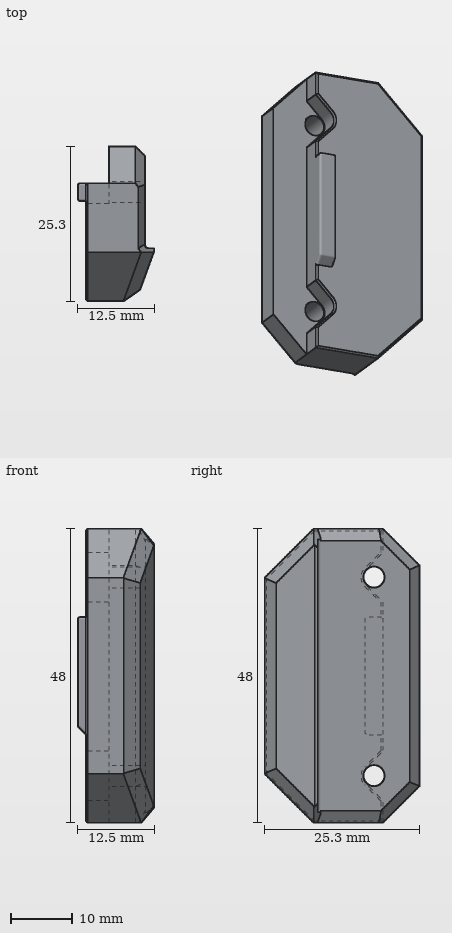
import cadquery as cq
import math

diagonal = math.sqrt(0.5)

half_height = 24.0
overall_width = 25.28
front_corner = 8.0
flange_width = 6.0
body_width = overall_width - flange_width

flange_front_x = 3.75
back_x = 9.68
lip_tip_x = 11.17
face_bevel = 0.3

slope_angle = 20
back_slope = math.tan(math.radians(slope_angle))
slope_end_x = 11.1
slope_start_x = slope_end_x - front_corner * back_slope
slope_chamfer = 2.0
lip_top_y = 8.67
lip_fillet = 0.5
lip_tip_radius = 0.2
lip_end_normal = (1.0, 0.8, 0.85)

flange_bevel = 1.6
end_bevel_depth = 1.15
end_bevel_height = 2.0

hole_spacing = 32.4
hole_middle_z = -0.1
hole_levels = [hole_middle_z + hole_spacing / 2, hole_middle_z - hole_spacing / 2]
hole_diameter = 3.4
hole_y = body_width - 1.43
notch_radius = 1.85

tab_length = 19.2
tab_width = 2.95
tab_height = 1.3
tab_rounding = 0.4


def prism_along_x(points, start_x, end_x):
    """Solid with the given YZ outline between two X positions."""
    return cq.Workplane("YZ", origin=(start_x, 0, 0)).polyline(points).close().extrude(end_x - start_x)


def prism_along_z(points):
    """Solid with the given XY outline over the full height."""
    return cq.Workplane("XY", origin=(0, 0, -half_height)).polyline(points).close().extrude(2 * half_height)


def cut_outside(solid, point, normal):
    """Remove everything on the side of the plane that the normal points to."""
    size = 4 * half_height
    cutter = cq.Workplane(cq.Plane(origin=point, normal=normal)).rect(size, size).extrude(size)
    return solid.cut(cutter)


def mirrored(vector, side):
    """The same vector, reflected to the lower half when side is -1."""
    x, y, z = vector
    return (x, y, side * z)


def body_outline():
    """YZ outline of the body without the flange, with 45 degree corners at the -Y side."""
    side_half = half_height - front_corner
    return [
        (0, -side_half),
        (front_corner, -half_height),
        (body_width, -half_height),
        (body_width, half_height),
        (front_corner, half_height),
        (0, side_half),
    ]


def front_block():
    """Part between the -Y side and the front corners, with the slanted, chamfered back."""
    block = prism_along_x(body_outline(), flange_front_x, slope_end_x)
    profile = [(0, 0), (slope_start_x, 0), (slope_end_x, front_corner), (0, front_corner)]
    block = block.intersect(prism_along_z(profile))
    slanted_back = block.faces(">X")
    return slanted_back.edges("not >Y").chamfer(slope_chamfer)


def rear_block():
    """Part beyond the front corners, including the flange, with bevels around its flat back."""
    side_half = half_height - flange_width
    outline = [
        (front_corner, -half_height),
        (body_width, -half_height),
        (overall_width, -side_half),
        (overall_width, side_half),
        (body_width, half_height),
        (front_corner, half_height),
    ]
    block = prism_along_x(outline, flange_front_x, back_x)
    bevel_start_x = back_x - flange_bevel
    block = cut_outside(block, (bevel_start_x, overall_width, 0), (1, 1, 0))
    for side in (1, -1):
        corner = (bevel_start_x, body_width, half_height)
        block = cut_outside(block, mirrored(corner, side), mirrored((1, diagonal, diagonal), side))
        end = (back_x - end_bevel_depth, body_width, half_height)
        normal = (end_bevel_height, 0, end_bevel_depth)
        block = cut_outside(block, mirrored(end, side), mirrored(normal, side))
    return block


def lip():
    """Ridge along the top of the slanted back, blended into the flat back."""
    straight_y = front_corner + (lip_tip_x - slope_end_x) / back_slope
    blend = (back_x + lip_fillet, lip_top_y + lip_fillet)
    tip = (lip_tip_x - lip_tip_radius, lip_top_y - lip_tip_radius)
    ridge = (
        cq.Workplane("XY", origin=(0, 0, -half_height))
        .moveTo(flange_front_x, front_corner)
        .lineTo(slope_end_x, front_corner)
        .lineTo(lip_tip_x, straight_y)
        .lineTo(lip_tip_x, tip[1])
        .threePointArc(
            (tip[0] + diagonal * lip_tip_radius, tip[1] + diagonal * lip_tip_radius),
            (tip[0], lip_top_y),
        )
        .lineTo(blend[0], lip_top_y)
        .threePointArc(
            (blend[0] - diagonal * lip_fillet, blend[1] - diagonal * lip_fillet),
            (back_x, blend[1]),
        )
        .lineTo(flange_front_x, blend[1])
        .close()
        .extrude(2 * half_height)
    )
    slope_on_wall = back_slope * diagonal
    chamfer_along_x = slope_chamfer * math.sqrt(1 + slope_on_wall ** 2)
    for side in (1, -1):
        corner = (slope_end_x - chamfer_along_x, front_corner, half_height)
        ridge = cut_outside(ridge, mirrored(corner, side), mirrored(lip_end_normal, side))
    return ridge


def face_plate():
    """Full-width layer of the body on the -X side, notched around the screw holes and bevelled."""
    plate = prism_along_x(body_outline(), 0, flange_front_x)
    tangent = notch_radius * diagonal
    tangent_y = hole_y - tangent
    mouth = tangent + body_width - tangent_y
    for z in hole_levels:
        notch = (
            cq.Workplane("YZ")
            .moveTo(body_width, z - mouth)
            .lineTo(tangent_y, z - tangent)
            .threePointArc((hole_y - notch_radius, z), (tangent_y, z + tangent))
            .lineTo(body_width, z + mouth)
            .close()
            .extrude(flange_front_x)
        )
        plate = plate.cut(notch)
    return plate.faces("<X").edges().chamfer(face_bevel)


def tab():
    """Rounded tab with a 45 degree lower end, rooted in the body to the depth of the face bevel."""
    half_length = tab_length / 2
    root_x = face_bevel
    outline = [
        (-tab_height, half_length),
        (root_x, half_length),
        (root_x, -half_length - root_x),
        (-tab_height, -half_length + tab_height),
    ]
    block = (
        cq.Workplane("XZ", origin=(0, body_width, 0))
        .polyline(outline)
        .close()
        .extrude(tab_width)
    )
    return block.edges("not >X").fillet(tab_rounding)


def screw_holes():
    centres = [(hole_y, z) for z in hole_levels]
    return cq.Workplane("YZ").pushPoints(centres).circle(hole_diameter / 2).extrude(lip_tip_x)


solid_behind_plate = front_block().union(rear_block()).union(lip())
result = solid_behind_plate.union(face_plate()).union(tab()).cut(screw_holes()).clean()